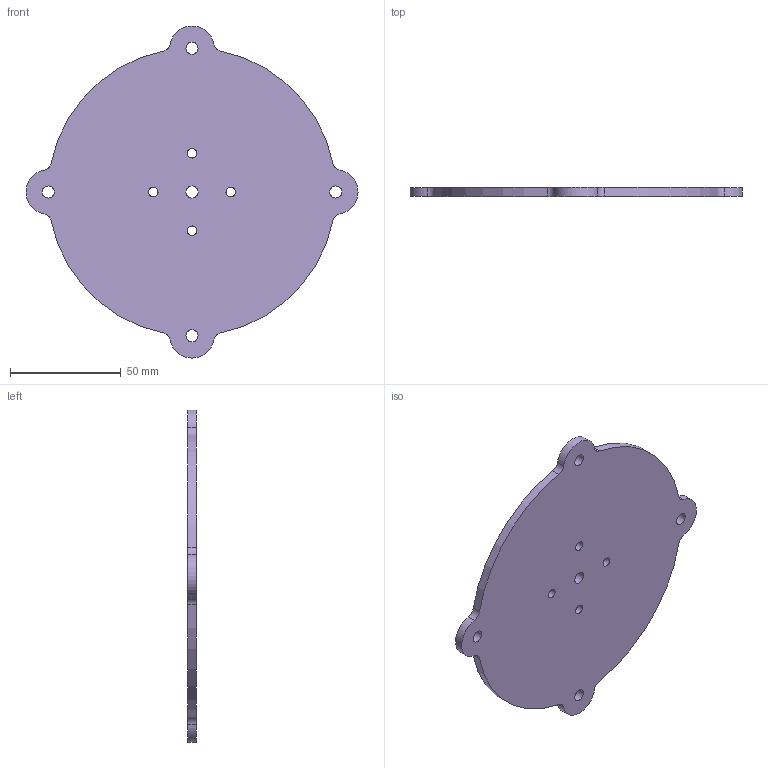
import cadquery as cq

thickness = 4.0
disc_radius = 65.0

lug_count = 4
lug_circle_radius = disc_radius
lug_radius = 10.0
lug_blend_radius = 4.0

lug_hole_diameter = 5.5
centre_hole_diameter = 5.5
inner_hole_count = 4
inner_hole_diameter = 4.3
inner_hole_circle_radius = 17.5

full_turn = 360.0


def plate_plane():
    """XZ sketch plane on the +Y face; its normal points to -Y."""
    return cq.Workplane("XZ", origin=(0, thickness / 2, 0))


def ring_of_cylinders(circle_radius, count, diameter):
    """Plate-thick cylinders equally spaced on a circle, the first one on +X."""
    ring = plate_plane().polarArray(circle_radius, 0, full_turn, count)
    return ring.circle(diameter / 2).extrude(thickness)


def make_plate():
    """Disc with rim lugs, the inside corners between them rounded."""
    disc = plate_plane().circle(disc_radius).extrude(thickness)
    lugs = ring_of_cylinders(lug_circle_radius, lug_count, 2 * lug_radius)
    return disc.union(lugs).edges("|Y").fillet(lug_blend_radius)


result = (
    make_plate()
    .cut(ring_of_cylinders(lug_circle_radius, lug_count, lug_hole_diameter))
    .cut(ring_of_cylinders(inner_hole_circle_radius, inner_hole_count, inner_hole_diameter))
    .cut(plate_plane().circle(centre_hole_diameter / 2).extrude(thickness))
)